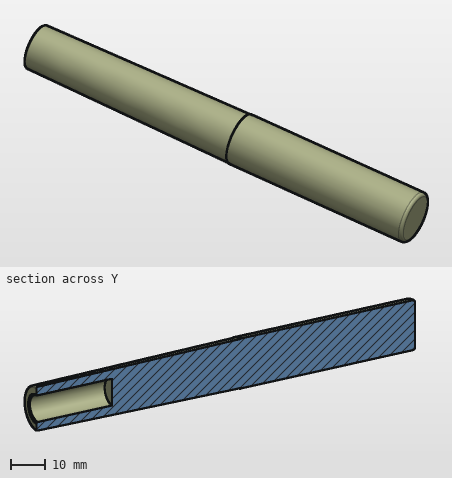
import cadquery as cq

length = 130.0
shank_diameter = 16.0
shank_length = 60.0
shank_fillet = 1.0
shoulder_step = 0.1
tip_diameter = 14.0
tip_fillet = 0.5
bore_diameter = 8.3
bore_depth = 26.0
bore_chamfer = 0.4

shank_radius = shank_diameter / 2
tip_radius = tip_diameter / 2
bore_radius = bore_diameter / 2
neck_length = length - shank_length


def revolve_about_x(profile):
    """Turn a closed half profile through a full circle about the X axis."""
    return profile.revolve(360, (0, 0, 0), (1, 0, 0))


def make_body():
    """Tapered neck with a rounded tip, a slight shoulder and a straight rounded shank."""
    profile = (
        cq.Workplane("XZ")
        .moveTo(0, 0)
        .lineTo(0, tip_radius - tip_fillet)
        .radiusArc((tip_fillet, tip_radius), tip_fillet)
        .lineTo(neck_length, shank_radius - shoulder_step)
        .lineTo(neck_length, shank_radius)
        .lineTo(length - shank_fillet, shank_radius)
        .radiusArc((length, shank_radius - shank_fillet), shank_fillet)
        .lineTo(length, 0)
        .close()
    )
    return revolve_about_x(profile)


def make_bore():
    """Blind bore with a chamfered mouth, opening at the tip face."""
    profile = (
        cq.Workplane("XZ")
        .moveTo(0, 0)
        .lineTo(0, bore_radius + bore_chamfer)
        .lineTo(bore_chamfer, bore_radius)
        .lineTo(bore_depth, bore_radius)
        .lineTo(bore_depth, 0)
        .close()
    )
    return revolve_about_x(profile)


result = make_body().cut(make_bore())